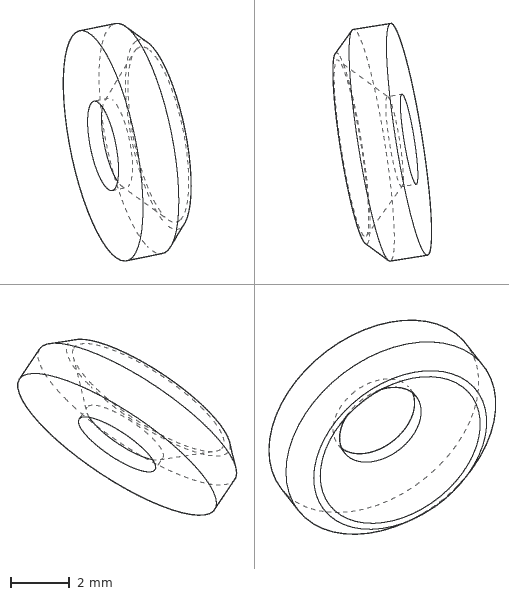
import cadquery as cq

outer_diameter = 8.0
thickness = 2.0
hole_diameter = 3.1
rim_chamfer = 0.7

straight_hole_depth = 0.5
countersink_depth = thickness - straight_hole_depth

outer_radius = outer_diameter / 2
hole_radius = hole_diameter / 2
countersink_radius = hole_radius + countersink_depth

half_section = (
    cq.Workplane("XY")
    .moveTo(hole_radius, 0)
    .lineTo(outer_radius, 0)
    .lineTo(outer_radius, thickness - rim_chamfer)
    .lineTo(outer_radius - rim_chamfer, thickness)
    .lineTo(countersink_radius, thickness)
    .lineTo(hole_radius, straight_hole_depth)
    .close()
)

result = half_section.revolve(360, (0, 0, 0), (0, 1, 0))